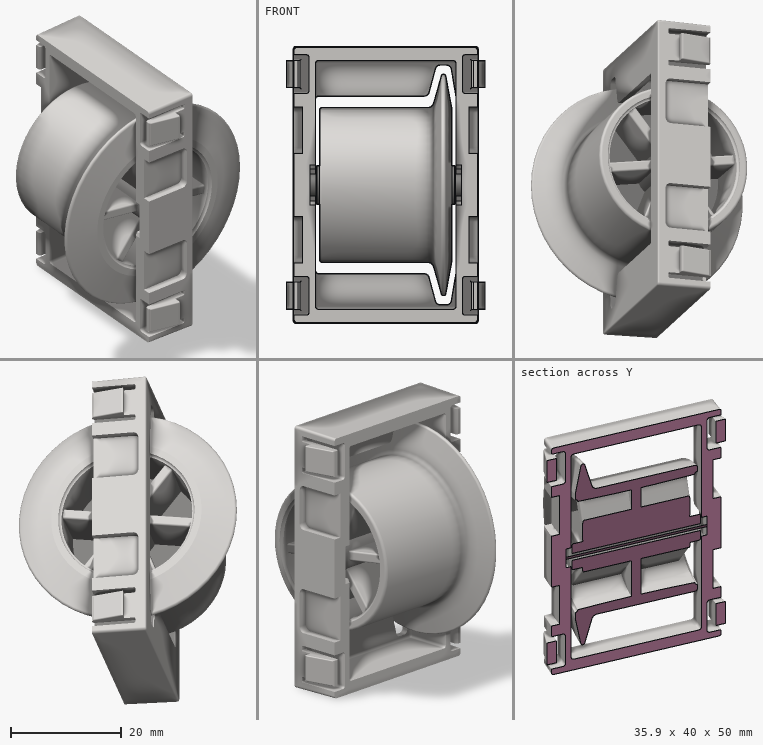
import cadquery as cq
import math

FRAME_WIDTH = 33.4
FRAME_HEIGHT = 50.0
FRAME_BACK_Y = 4.5
FRAME_DEPTH = 10.0
FRAME_FRONT_Y = FRAME_BACK_Y - FRAME_DEPTH
FRAME_DRAFT = 1.0
FRAME_CORNER_RADIUS = 0.5
FRAME_BACK_RADIUS = 0.3
SIDE_X = FRAME_WIDTH / 2

OPENING_WIDTH = 25.3
OPENING_HEIGHT = 44.9
OPENING_X = OPENING_WIDTH / 2
PLATE_THICKNESS = 1.2
PLATE_FACE_Y = FRAME_BACK_Y - PLATE_THICKNESS
PLATE_FILLET = 0.45
OPENING_CORNER_RADIUS = 0.5

WINDOW_TREAD_Z = 16.0
WINDOW_FLANGE_Z = 21.6
BAY_INNER_FOOT_X = 7.65
BAY_INNER_TOP_X = 9.15
BAY_OUTER_TOP_X = 11.7
WINDOW_CORNER_RADIUS = 0.5
BAY_FOOT_RADIUS = 1.0
BAY_TOP_RADIUS = 0.8

POCKET_Z = 9.85
POCKET_HEIGHT = 8.4
POCKET_BACK_Y = 3.05
POCKET_FLOOR_X = 15.05
POCKET_RADIUS = 1.0

LATCH_Z = 20.0
RECESS_HEIGHT = 7.0
RECESS_BACK_Y = 2.5
RECESS_FLOOR_X = 13.85
RECESS_RADIUS = 0.5
RECESS_BACK_FILLET = 0.25
LATCH_HEIGHT = 4.9
TONGUE_INNER_X = 15.5
TONGUE_TIP_CHAMFER = 0.3
HOOK_X = 17.95
HOOK_BACK_Y = 0.45
HOOK_FLAT = 0.35
HOOK_EDGE_RADIUS = 0.2

SEAT_WALL_X = 13.7
SEAT_MOUTH_WIDTH = 7.2
SEAT_WIDTH = 5.8
SEAT_FLARE_DEPTH = 0.3

AXLE_DIAMETER = 4.0
AXLE_LENGTH = 2 * SEAT_WALL_X
SEAT_LEDGE_Y = -AXLE_DIAMETER / 2

WHEEL_X = 11.95
TREAD_RADIUS = 14.0
BORE_RADIUS = 12.0
BORE_WEB_RADIUS = 11.8
WHEEL_EDGE_RADIUS = 0.5
FLANGE_RADIUS = 20.0
FLANGE_SHOULDER_RADIUS = 19.65
FLANGE_ROOT_X = 8.4
FLANGE_INNER_X = 10.0
FLANGE_OUTER_X = 10.85
FLANGE_FACE_RADIUS = 13.8
FLANGE_FILLET = 1.0
WEB_THICKNESS = 2.0
HUB_DIAMETER = 7.0
HUB_LENGTH = 25.2
HUB_CHAMFER = 0.2
HUB_BORE_DIAMETER = 4.2
RIB_COUNT = 6
RIB_FIRST_ANGLE = 21.5
RIB_X = 10.5
RIB_WIDTH = 1.8
RIB_EDGE_RADIUS = 0.3
RIB_EMBED = 0.25


def x_cylinder(diameter, length):
    """Cylinder centred on the X axis."""
    return cq.Workplane("YZ").circle(diameter / 2).extrude(length / 2, both=True)


def box_between(x_range, y_range, z_range):
    """Box spanning the three given (low, high) ranges."""
    low, high = zip(x_range, y_range, z_range)
    return cq.Workplane("XY").box(*(b - a for a, b in zip(low, high)), centered=False).translate(low)


def on_both_sides(shape):
    """The shape together with its mirror image on the -X side."""
    return shape.union(shape.mirror("YZ"))


def in_four_corners(shape):
    """The shape repeated on both X sides and in both Z halves."""
    pair = on_both_sides(shape)
    return pair.union(pair.mirror("XY"))


def window_cutter():
    """Cutter for the upper half of the window in the back plate."""
    outline = [
        (-OPENING_X, 0),
        (-OPENING_X, WINDOW_TREAD_Z),
        (BAY_INNER_FOOT_X, WINDOW_TREAD_Z),
        (BAY_INNER_TOP_X, WINDOW_FLANGE_Z),
        (BAY_OUTER_TOP_X, WINDOW_FLANGE_Z),
        (OPENING_X, WINDOW_TREAD_Z),
        (OPENING_X, 0),
    ]
    cutter = cq.Workplane("XZ", origin=(0, FRAME_BACK_Y, 0)).polyline(outline).close().extrude(FRAME_DEPTH)

    def edge_at(x, z):
        return cq.selectors.NearestToPointSelector((x, FRAME_BACK_Y - FRAME_DEPTH / 2, z))

    cutter = cutter.edges(edge_at(-OPENING_X, WINDOW_TREAD_Z)).fillet(WINDOW_CORNER_RADIUS)
    cutter = cutter.edges(edge_at(BAY_INNER_FOOT_X, WINDOW_TREAD_Z)).fillet(BAY_FOOT_RADIUS)
    for top_x in (BAY_INNER_TOP_X, BAY_OUTER_TOP_X):
        cutter = cutter.edges(edge_at(top_x, WINDOW_FLANGE_Z)).fillet(BAY_TOP_RADIUS)
    return cutter


def frame_blank():
    """Drafted block with the front opening and the back plate window."""
    block = (
        cq.Workplane("XZ", origin=(0, FRAME_BACK_Y, 0))
        .rect(FRAME_WIDTH, FRAME_HEIGHT)
        .extrude(FRAME_DEPTH, taper=FRAME_DRAFT)
    )
    block = block.edges("not(|X or |Z)").fillet(FRAME_CORNER_RADIUS)
    block = block.faces(">Y").edges().fillet(FRAME_BACK_RADIUS)
    opening = (
        cq.Workplane("XZ", origin=(0, PLATE_FACE_Y, 0))
        .rect(OPENING_WIDTH, OPENING_HEIGHT)
        .extrude(FRAME_DEPTH)
        .edges("|Y")
        .fillet(OPENING_CORNER_RADIUS)
        .faces(">Y")
        .edges()
        .fillet(PLATE_FILLET)
    )
    window = window_cutter()
    return block.cut(opening).cut(window).cut(window.mirror("XY"))


def side_pocket():
    """Cutter for one pocket in the +X side face, open to the front."""
    return box_between(
        (POCKET_FLOOR_X, HOOK_X),
        (2 * FRAME_FRONT_Y, POCKET_BACK_Y),
        (POCKET_Z - POCKET_HEIGHT / 2, POCKET_Z + POCKET_HEIGHT / 2),
    ).edges("|X and >Y").fillet(POCKET_RADIUS)


def latch_prism(outline):
    """Prism of latch height over an outline in X and Y, centred on the latch."""
    base = cq.Workplane("XY", origin=(0, 0, LATCH_Z - LATCH_HEIGHT / 2))
    return base.polyline(outline).close().extrude(LATCH_HEIGHT)


def latch_recess():
    """Cutter for one recess in the +X side face, leaving the latch tongue standing in it."""
    pocket = box_between(
        (RECESS_FLOOR_X, HOOK_X),
        (2 * FRAME_FRONT_Y, RECESS_BACK_Y),
        (LATCH_Z - RECESS_HEIGHT / 2, LATCH_Z + RECESS_HEIGHT / 2),
    ).edges("|Y and <X").fillet(RECESS_RADIUS)
    tongue = latch_prism(
        [
            (TONGUE_INNER_X, RECESS_BACK_Y),
            (TONGUE_INNER_X, FRAME_FRONT_Y + TONGUE_TIP_CHAMFER),
            (TONGUE_INNER_X + TONGUE_TIP_CHAMFER, FRAME_FRONT_Y),
            (HOOK_X, FRAME_FRONT_Y),
            (HOOK_X, RECESS_BACK_Y),
        ]
    )
    return pocket.cut(tongue).faces(">Y").edges("not(>X)").fillet(RECESS_BACK_FILLET)


def latch_hook():
    """Wedge on the outer face of a tongue, thinning toward the front."""
    root_x = TONGUE_INNER_X + TONGUE_TIP_CHAMFER
    hook = latch_prism(
        [
            (root_x, HOOK_BACK_Y),
            (HOOK_X, HOOK_BACK_Y),
            (HOOK_X, HOOK_BACK_Y - HOOK_FLAT),
            (SIDE_X, FRAME_FRONT_Y + TONGUE_TIP_CHAMFER),
            (SIDE_X - TONGUE_TIP_CHAMFER, FRAME_FRONT_Y),
            (root_x, FRAME_FRONT_Y),
        ]
    )
    slope_middle = ((HOOK_X + SIDE_X) / 2, (HOOK_BACK_Y + FRAME_FRONT_Y) / 2, LATCH_Z)
    slope = hook.faces(cq.selectors.NearestToPointSelector(slope_middle))
    return slope.edges("not(|Z)").fillet(HOOK_EDGE_RADIUS)


def axle_seat():
    """Cutter for the axle seat in the +X wall: flared mouth, ledge and round-bottomed slot."""
    mouth = SEAT_MOUTH_WIDTH / 2
    throat = SEAT_WIDTH / 2
    flare_end_y = FRAME_FRONT_Y + SEAT_FLARE_DEPTH
    outline = [
        (FRAME_FRONT_Y, -mouth),
        (flare_end_y, -throat),
        (SEAT_LEDGE_Y, -throat),
        (SEAT_LEDGE_Y, throat),
        (flare_end_y, throat),
        (FRAME_FRONT_Y, mouth),
    ]
    wall_depth = SEAT_WALL_X - OPENING_X
    entry = cq.Workplane("YZ", origin=(OPENING_X, 0, 0)).polyline(outline).close().extrude(wall_depth)
    slot = box_between(
        (OPENING_X, SEAT_WALL_X),
        (SEAT_LEDGE_Y, 0),
        (-AXLE_DIAMETER / 2, AXLE_DIAMETER / 2),
    )
    return entry.union(slot).union(x_cylinder(AXLE_DIAMETER, AXLE_LENGTH))


def make_frame():
    """Rectangular housing with pockets, latches and axle seats."""
    frame = frame_blank()
    frame = frame.cut(in_four_corners(side_pocket()))
    frame = frame.cut(in_four_corners(latch_recess()))
    frame = frame.union(in_four_corners(latch_hook()))
    return frame.cut(on_both_sides(axle_seat()))


def rim_and_web():
    """Revolved tread, flange and central web."""
    cone_tilt = math.atan2(FLANGE_INNER_X - FLANGE_ROOT_X, FLANGE_SHOULDER_RADIUS - TREAD_RADIUS)
    fillet_reach = FLANGE_FILLET * math.tan((math.pi / 2 - cone_tilt) / 2)
    fillet_start = (FLANGE_ROOT_X - fillet_reach, TREAD_RADIUS)
    fillet_end = (
        FLANGE_ROOT_X + fillet_reach * math.sin(cone_tilt),
        TREAD_RADIUS + fillet_reach * math.cos(cone_tilt),
    )
    web_x = WEB_THICKNESS / 2
    edge = WHEEL_EDGE_RADIUS
    profile = (
        cq.Workplane("XY")
        .moveTo(-web_x, 0)
        .lineTo(-web_x, BORE_WEB_RADIUS)
        .lineTo(-WHEEL_X + edge, BORE_RADIUS)
        .radiusArc((-WHEEL_X, BORE_RADIUS + edge), -edge)
        .lineTo(-WHEEL_X, TREAD_RADIUS - edge)
        .radiusArc((-WHEEL_X + edge, TREAD_RADIUS), edge)
        .lineTo(*fillet_start)
        .tangentArcPoint(fillet_end, relative=False)
        .lineTo(FLANGE_INNER_X, FLANGE_SHOULDER_RADIUS)
        .threePointArc(
            ((FLANGE_INNER_X + FLANGE_OUTER_X) / 2, FLANGE_RADIUS),
            (FLANGE_OUTER_X, FLANGE_SHOULDER_RADIUS),
        )
        .lineTo(WHEEL_X, FLANGE_FACE_RADIUS)
        .lineTo(WHEEL_X, BORE_RADIUS + edge)
        .radiusArc((WHEEL_X - edge, BORE_RADIUS), -edge)
        .lineTo(web_x, BORE_WEB_RADIUS)
        .lineTo(web_x, 0)
        .close()
    )
    return profile.revolve(360, (0, 0, 0), (1, 0, 0))


def rib(angle):
    """One rib from hub to rim, running through the web with rounded edges on both sides."""
    hub_side = HUB_DIAMETER / 2 - RIB_EMBED
    rim_side = BORE_RADIUS + RIB_EMBED
    blade = box_between(
        (-RIB_X, RIB_X),
        (-RIB_WIDTH / 2, RIB_WIDTH / 2),
        (hub_side, rim_side),
    ).edges("|Z").fillet(RIB_EDGE_RADIUS)
    return blade.rotate((0, 0, 0), (1, 0, 0), angle)


def make_wheel():
    """Flanged wheel with a ribbed web and a bored hub."""
    hub = x_cylinder(HUB_DIAMETER, HUB_LENGTH).edges().chamfer(HUB_CHAMFER)
    wheel = rim_and_web().union(hub)
    for index in range(RIB_COUNT):
        wheel = wheel.union(rib(RIB_FIRST_ANGLE + index * 360 / RIB_COUNT))
    return wheel.cut(x_cylinder(HUB_BORE_DIAMETER, HUB_LENGTH))


def make_axle():
    """Plain pin carried in the two axle seats."""
    return x_cylinder(AXLE_DIAMETER, AXLE_LENGTH)


frame = make_frame()
wheel = make_wheel()
axle = make_axle()

result = cq.Compound.makeCompound([frame.val(), wheel.val(), axle.val()])